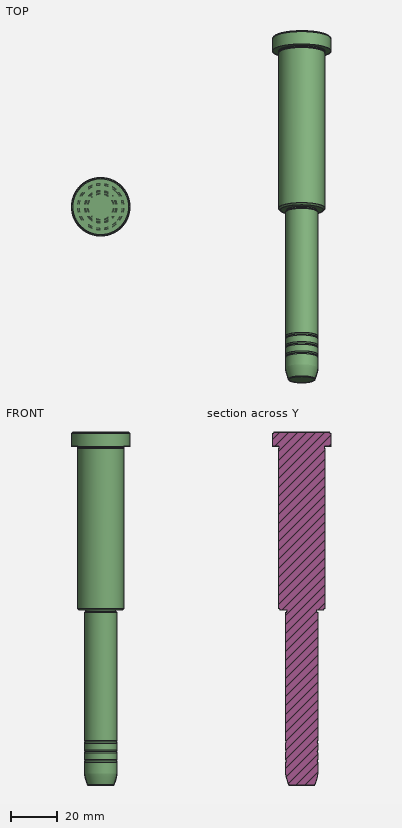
import cadquery as cq

total_length = 151.0
head_radius = 12.5
head_height = 6.0
head_chamfer = 0.6
body_radius = 10.0
body_length = 70.0
body_chamfer = 0.8
pin_radius = 7.02
shoulder_relief_height = 1.0
shoulder_relief_depth = 0.6
neck_relief_height = 0.9
neck_relief_depth = 0.2
groove_width = 1.2
groove_depth = 0.3
groove_pitch = 4.1
top_groove_height = 18.0
groove_count = 3
nose_height = 5.0
tip_radius = 5.7
nose_bulge = 0.18
tip_chamfer = 0.3

head_bottom = total_length - head_height
body_bottom = head_bottom - body_length


def cylinder(radius, bottom, height):
    return cq.Workplane("XY").workplane(offset=bottom).circle(radius).extrude(height)


def ring_groove(radius, depth, bottom, width):
    """V-shaped ring removed from a round surface."""
    return (
        cq.Workplane("XZ")
        .moveTo(radius, bottom)
        .lineTo(radius - depth, bottom + width / 2)
        .lineTo(radius, bottom + width)
        .lineTo(radius + depth, bottom + width)
        .lineTo(radius + depth, bottom)
        .close()
        .revolve(360, (0, 0, 0), (0, 1, 0))
    )


head = cylinder(head_radius, head_bottom, head_height).faces(">Z").edges().chamfer(head_chamfer)
body = cylinder(body_radius, body_bottom, body_length).faces("<Z").edges().chamfer(body_chamfer)
body = body.cut(ring_groove(body_radius, neck_relief_depth, head_bottom - neck_relief_height, neck_relief_height))

relief_radius = pin_radius - shoulder_relief_depth
nose_middle = ((pin_radius + tip_radius) / 2 + nose_bulge, (nose_height + tip_chamfer) / 2)
pin = (
    cq.Workplane("XZ")
    .moveTo(0, 0)
    .lineTo(tip_radius - tip_chamfer, 0)
    .lineTo(tip_radius, tip_chamfer)
    .threePointArc(nose_middle, (pin_radius, nose_height))
    .lineTo(pin_radius, body_bottom - shoulder_relief_height)
    .lineTo(relief_radius, body_bottom - shoulder_relief_height / 2)
    .lineTo(relief_radius, body_bottom)
    .lineTo(0, body_bottom)
    .close()
    .revolve(360, (0, 0, 0), (0, 1, 0))
)

for index in range(groove_count):
    groove_bottom = top_groove_height - index * groove_pitch
    pin = pin.cut(ring_groove(pin_radius, groove_depth, groove_bottom, groove_width))

result = head.union(body).union(pin)